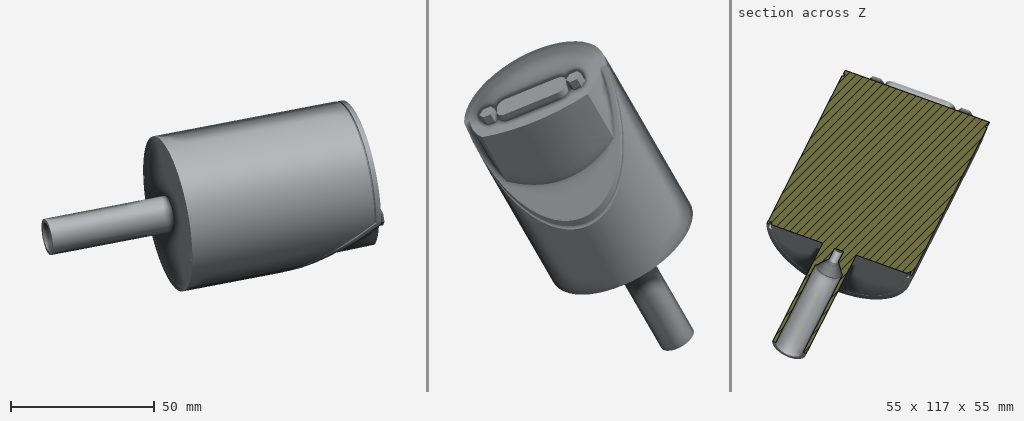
import cadquery as cq
import math


housing_radius = 27.5
housing_length = 66.7
bevel_angle = 35.0

cap_radius = 27.4
seam_radius = 26.8
seam_width = 0.7
cap_rear_thickness = 2.5
cap_bevel_thickness = 2.1
cap_rear = housing_length + cap_rear_thickness

hood_radius = 25.2
hood_bottom = -18.5
hood_corner_z = -14.6
hood_draft = 1.0
hood_length = 26.9

connector_z = -6.2
connector_width = 26.5
connector_height = 9.6
connector_corner_radius = 3.3
connector_depth = 2.9
standoff_spacing = 33.5
standoff_across_corners = 5.8
standoff_length = 3.7

overall_length = 117.0
shaft_radius = 6.4
shaft_length = overall_length - cap_rear - standoff_length
bore_radius = 5.09
bore_depth = 35.1
bore_step_radius = 4.7
funnel_neck_radius = 2.63
funnel_depth = 2.9
pilot_radius = 1.6
pilot_cone_depth = 1.2
pilot_depth = 4.7

front_disc_radius = 25.4
front_disc_recess = 0.1
notch_outer_radius = 26.6
notch_inner_height = 5.4
notch_outer_height = 4.2
notch_depth = 1.4


def cylinder(radius, y_start, y_end):
    """Cylinder on the Y axis between two Y positions."""
    return cq.Workplane("XZ", origin=(0, y_start, 0)).circle(radius).extrude(y_start - y_end)


def bevelled_cylinder(radius, rear_offset, bevel_offset):
    """Cylinder whose rear face and lower bevel lie the given distances outside those of the housing."""
    angle = math.radians(bevel_angle)
    rear = housing_length + rear_offset
    kink_z = (rear_offset * math.sin(angle) - bevel_offset) / math.cos(angle)
    reach = 2 * housing_radius
    profile = [
        (0, reach),
        (rear, reach),
        (rear, kink_z),
        (rear - (reach + kink_z) / math.tan(angle), -reach),
        (0, -reach),
    ]
    keep = cq.Workplane("YZ").polyline(profile).close().extrude(reach, both=True)
    return cylinder(radius, 0, rear).intersect(keep)


def make_housing_and_cap():
    housing = bevelled_cylinder(housing_radius, 0, 0)
    seam = bevelled_cylinder(seam_radius, seam_width, seam_width)
    inside = bevelled_cylinder(housing_radius, seam_width, seam_width)
    cap = bevelled_cylinder(cap_radius, cap_rear_thickness, cap_bevel_thickness).cut(inside)
    return housing.union(seam).union(cap)


def make_hood():
    """Round hood closed below by a shallow arc, widening toward the housing."""
    corner_x = math.sqrt(hood_radius**2 - hood_corner_z**2)
    return (
        cq.Workplane("XZ", origin=(0, cap_rear, 0))
        .moveTo(-corner_x, hood_corner_z)
        .threePointArc((0, hood_bottom), (corner_x, hood_corner_z))
        .threePointArc((0, hood_radius), (-corner_x, hood_corner_z))
        .close()
        .extrude(hood_length, taper=-hood_draft)
    )


def make_connector():
    body = (
        cq.Workplane("XZ", origin=(0, cap_rear, connector_z))
        .rect(connector_width, connector_height)
        .extrude(-connector_depth)
        .edges("|Y")
        .fillet(connector_corner_radius)
    )
    standoffs = (
        cq.Workplane("XZ", origin=(0, cap_rear, connector_z))
        .pushPoints([(-standoff_spacing / 2, 0), (standoff_spacing / 2, 0)])
        .polygon(6, standoff_across_corners)
        .extrude(-standoff_length)
    )
    return body.union(standoffs)


def make_bore():
    """Straight bore ending in a funnel and a blind pilot hole."""
    bore_end = bore_depth - shaft_length
    neck_y = bore_end + funnel_depth
    pilot_y = neck_y + pilot_cone_depth
    profile = [
        (0, -shaft_length),
        (bore_radius, -shaft_length),
        (bore_radius, bore_end),
        (bore_step_radius, bore_end),
        (funnel_neck_radius, neck_y),
        (pilot_radius, pilot_y),
        (pilot_radius, pilot_y + pilot_depth),
        (0, pilot_y + pilot_depth),
    ]
    return cq.Workplane("XY").polyline(profile).close().revolve(360, (0, 0, 0), (0, 1, 0))


def make_notch():
    """Notch on the +X side of the front face, narrowing and getting deeper outward."""
    wedge = (
        cq.Workplane("XY")
        .polyline([(front_disc_radius, 0), (notch_outer_radius, 0), (notch_outer_radius, notch_depth)])
        .close()
        .extrude(notch_inner_height / 2, both=True)
    )
    outline = [
        (front_disc_radius, -notch_inner_height / 2),
        (notch_outer_radius, -notch_outer_height / 2),
        (notch_outer_radius, notch_outer_height / 2),
        (front_disc_radius, notch_inner_height / 2),
    ]
    return wedge.intersect(cq.Workplane("XZ").polyline(outline).close().extrude(-notch_depth))


housing = make_housing_and_cap().union(make_hood()).union(make_connector())
housing = housing.cut(cylinder(front_disc_radius, 0, front_disc_recess))
notch = make_notch()
housing = housing.cut(notch).cut(notch.mirror("YZ"))
shaft = cylinder(shaft_radius, -shaft_length, front_disc_recess)
result = housing.union(shaft).cut(make_bore())